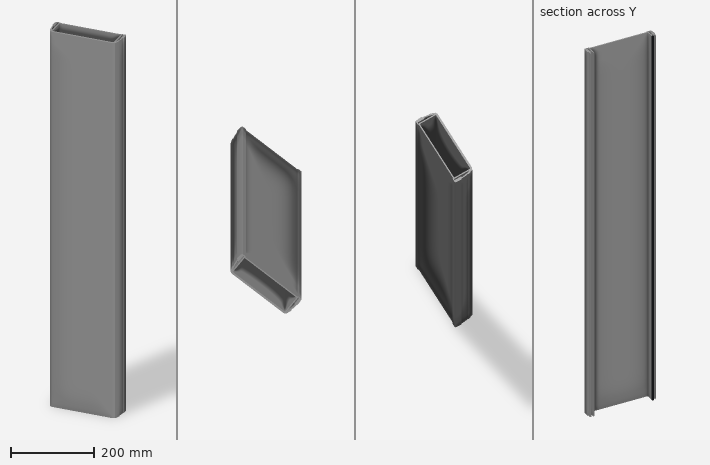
import cadquery as cq
import math

LENGTH = 1000.0
WIDTH = 187.0
DEPTH = 55.0

SIDE_RADIUS = 85.0
CROWN_Y = 10.0
SPLIT_Y = 9.5

INNER_HALF_WIDTH = 80.0
WEB_THICKNESS = 3.0
BACK_SETBACK = 2.0
BACK_THICKNESS = 3.0
RIM_CHAMFER = 1.0
SLOT_END_Y = 25.0

PLATE_THICKNESS = 5.0
PLATE_HALF_WIDTH = 80.0
SKIRT_THICKNESS = 3.0
SKIRT_INSET = 2.0
SIDE_STEP = 1.5
SIDE_STEP_Y = -11.0
FOOT_Y = -25.0
TONGUE_INNER_X = 86.0
TONGUE_THICKNESS = 3.0
TONGUE_ROOT_Y = 6.0

back_y = DEPTH / 2
front_y = -DEPTH / 2
plate_back_y = front_y + PLATE_THICKNESS
web_outer_x = INNER_HALF_WIDTH + WEB_THICKNESS
tongue_outer_x = TONGUE_INNER_X + TONGUE_THICKNESS
arc_center_x = WIDTH / 2 - SIDE_RADIUS
skirt_radius = SIDE_RADIUS - SKIRT_INSET
foot_radius = skirt_radius + SIDE_STEP
skirt_inner_radius = skirt_radius - SKIRT_THICKNESS


def side_point(y, radius):
    """Point at the given Y on the right-hand side arc of the given radius."""
    return (arc_center_x + math.sqrt(radius**2 - (y - CROWN_Y)**2), y)


def side_y(x, radius):
    """Y at which the front stretch of the right-hand side arc reaches the given X."""
    return CROWN_Y - math.sqrt(radius**2 - (x - arc_center_x)**2)


def add_side_arc(outline, start_y, end_y, radius):
    """Draw a line to the side arc at start_y and follow the arc to end_y."""
    middle_y = (start_y + end_y) / 2
    return (
        outline.lineTo(*side_point(start_y, radius))
        .threePointArc(side_point(middle_y, radius), side_point(end_y, radius))
    )


def extrude_both_halves(half_outline):
    """Extrude the right half along Z and join it to its mirror image across X = 0."""
    half = half_outline.close().extrude(LENGTH)
    return half.union(half.mirror("YZ")).clean()


def make_channel():
    back_plate_y = back_y - BACK_SETBACK
    back_plate_front_y = back_plate_y - BACK_THICKNESS
    chamfer_y = back_y - RIM_CHAMFER
    rim_x = side_point(chamfer_y, SIDE_RADIUS)[0] - RIM_CHAMFER

    outline = (
        cq.Workplane("XY")
        .moveTo(0, back_plate_y)
        .lineTo(INNER_HALF_WIDTH, back_plate_y)
        .lineTo(INNER_HALF_WIDTH, back_y)
        .lineTo(rim_x, back_y)
    )
    outline = add_side_arc(outline, chamfer_y, SPLIT_Y, SIDE_RADIUS)
    outline = (
        outline.lineTo(tongue_outer_x, SPLIT_Y)
        .lineTo(tongue_outer_x, SLOT_END_Y)
        .lineTo(web_outer_x, SLOT_END_Y)
        .lineTo(web_outer_x, plate_back_y)
        .lineTo(INNER_HALF_WIDTH, plate_back_y)
        .lineTo(INNER_HALF_WIDTH, back_plate_front_y)
        .lineTo(0, back_plate_front_y)
    )
    return extrude_both_halves(outline)


def make_cover():
    skirt_end_y = side_y(web_outer_x, skirt_inner_radius)

    outline = (
        cq.Workplane("XY")
        .moveTo(TONGUE_INNER_X, SLOT_END_Y)
        .lineTo(tongue_outer_x, SLOT_END_Y)
        .lineTo(tongue_outer_x, SPLIT_Y)
    )
    outline = add_side_arc(outline, SPLIT_Y, SIDE_STEP_Y, skirt_radius)
    outline = add_side_arc(outline, SIDE_STEP_Y, FOOT_Y, foot_radius)
    outline = (
        outline.lineTo(PLATE_HALF_WIDTH, front_y)
        .lineTo(0, front_y)
        .lineTo(0, plate_back_y)
        .lineTo(web_outer_x, plate_back_y)
    )
    outline = add_side_arc(outline, skirt_end_y, TONGUE_ROOT_Y, skirt_inner_radius)
    outline = outline.lineTo(TONGUE_INNER_X, TONGUE_ROOT_Y)
    return extrude_both_halves(outline)


channel = make_channel()
cover = make_cover()

result = cq.Compound.makeCompound([channel.val(), cover.val()])